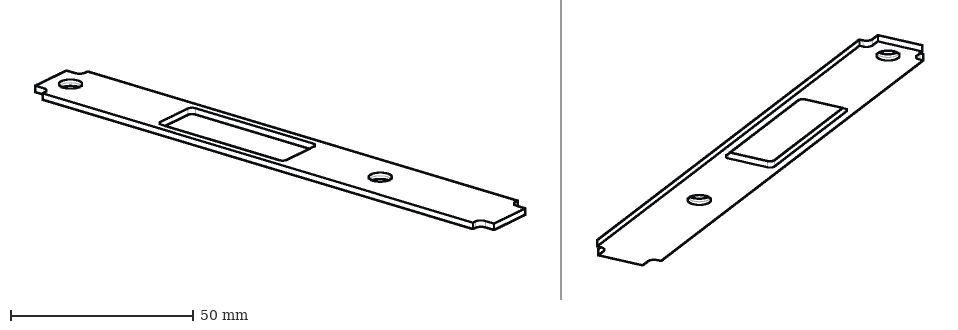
import cadquery as cq

length = 160.0
width = 20.0
thickness = 2.0

notch_length = 5.0
notch_depth = 3.0
notch_radius = 2.0

window_length = 44.0
window_width = 15.0
window_start = 43.0
window_radius = 1.5

hole_diameter = 6.4
first_hole_distance = 6.9
hole_spacing = 108.0

left_end = -length / 2


def notched_plate():
    """Plate with notched corners: a full-width body with a narrower tongue at each end."""
    body = cq.Workplane("XY").box(length - 2 * notch_length, width, thickness)
    tongue = cq.Workplane("XY").box(length, width - 2 * notch_depth, thickness)
    corner_x = length / 2 - notch_length
    corner_y = width / 2 - notch_depth
    margin = notch_depth / 2
    plate = body.union(tongue)
    for side_x in (-1, 1):
        for side_y in (-1, 1):
            x = side_x * corner_x
            y = side_y * corner_y
            corner = cq.selectors.BoxSelector(
                (x - margin, y - margin, -thickness), (x + margin, y + margin, thickness)
            )
            plate = plate.edges("|Z").edges(corner).fillet(notch_radius)
    return plate


def window():
    """Rounded rectangular cutter for the window."""
    center_x = left_end + window_start + window_length / 2
    cutter = cq.Workplane("XY").box(window_length, window_width, 2 * thickness)
    return cutter.edges("|Z").fillet(window_radius).translate((center_x, 0, 0))


def holes():
    """Cutters for the two round holes on the centre line."""
    first_x = left_end + first_hole_distance
    centers = [(first_x, 0), (first_x + hole_spacing, 0)]
    cutters = cq.Workplane("XY").pushPoints(centers).circle(hole_diameter / 2)
    return cutters.extrude(thickness, both=True)


result = notched_plate().cut(window()).cut(holes())